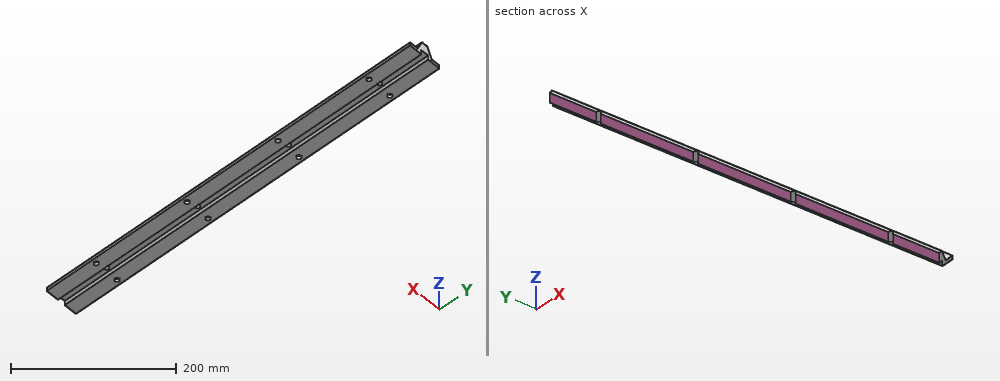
import cadquery as cq
import math

length = 599.5
base_width = 52.0
height = 23.0

flange_thickness = 5.5
rib_half_width = 12.5
crest_half_width = 4.5
cradle_radius = 10.0
slot_half_width = 6.0
slot_depth = 7.0

hole_diameter = 6.5
hole_row_count = 4
hole_pitch = length / hole_row_count
hole_offset = 18.5

base_half_width = base_width / 2
cradle_depth = cradle_radius - math.sqrt(cradle_radius**2 - crest_half_width**2)


def rail_body():
    """Flanged rail with sloped flanks, a concave crest and a slot underneath."""
    return (
        cq.Workplane("XZ")
        .moveTo(-base_half_width, 0)
        .lineTo(-slot_half_width, 0)
        .lineTo(-slot_half_width, slot_depth)
        .lineTo(slot_half_width, slot_depth)
        .lineTo(slot_half_width, 0)
        .lineTo(base_half_width, 0)
        .lineTo(base_half_width, flange_thickness)
        .lineTo(rib_half_width, flange_thickness)
        .lineTo(crest_half_width, height)
        .threePointArc((0, height - cradle_depth), (-crest_half_width, height))
        .lineTo(-rib_half_width, flange_thickness)
        .lineTo(-base_half_width, flange_thickness)
        .close()
        .extrude(length / 2, both=True)
    )


def screw_holes():
    """Vertical through holes in both flanges and along the crest."""
    first_row = -hole_pitch * (hole_row_count - 1) / 2
    centers = [
        (x, first_row + row * hole_pitch)
        for row in range(hole_row_count)
        for x in (-hole_offset, 0, hole_offset)
    ]
    return cq.Workplane("XY").pushPoints(centers).circle(hole_diameter / 2).extrude(height)


result = rail_body().cut(screw_holes())